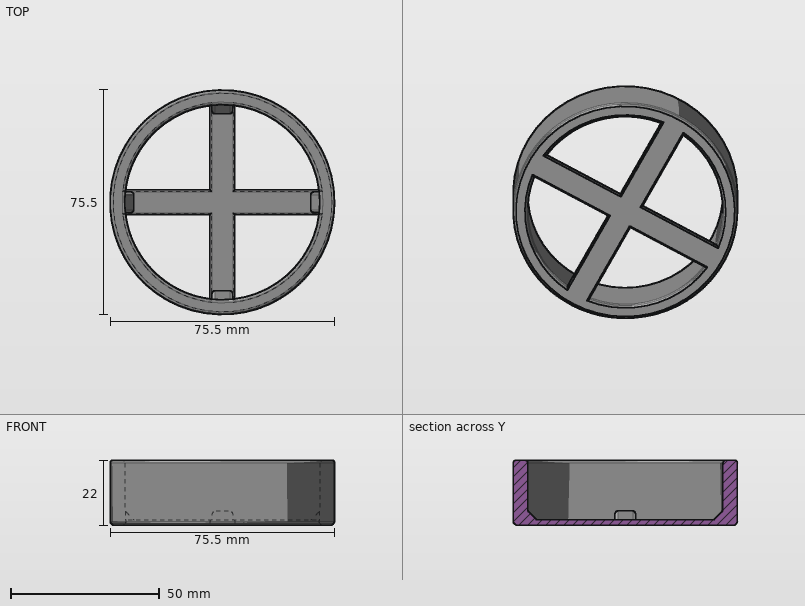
import cadquery as cq

OUTER_DIAMETER = 75.5
INNER_DIAMETER = 65.5
HEIGHT = 22.0
RIM_FILLET = 1.0
RIM_CHAMFER = 1.0

SPOKE_WIDTH = 8.5
SPOKE_THICKNESS = 2.0
SPOKE_FILLET = 0.75
SPOKE_CHAMFER = 0.5

GUSSET_COUNT = 4
GUSSET_WIDTH = 7.1
GUSSET_RUN = 3.0
GUSSET_RISE = 3.0
GUSSET_FILLET = 1.0

INNER_RADIUS = INNER_DIAMETER / 2
WALL = (OUTER_DIAMETER - INNER_DIAMETER) / 2
EMBED_RADIUS = INNER_RADIUS + WALL / 2


def finish_edges(body, chamfer, fillet):
    """Fillet the top edges, chamfer the bottom ones and blend each chamfer into its side wall."""
    body = body.faces(">Z").edges().fillet(fillet)
    body = body.faces("<Z").edges().chamfer(chamfer)
    chamfer_top_edges = cq.selectors.BoxSelector(
        (-OUTER_DIAMETER, -OUTER_DIAMETER, 0.9 * chamfer),
        (OUTER_DIAMETER, OUTER_DIAMETER, 1.1 * chamfer),
        boundingbox=True,
    )
    return body.edges(chamfer_top_edges).fillet(fillet)


def make_ring():
    """Plain ring with rounded top and chamfered bottom rims, inside and out."""
    ring = cq.Workplane("XY").circle(OUTER_DIAMETER / 2).circle(INNER_RADIUS).extrude(HEIGHT)
    return finish_edges(ring, RIM_CHAMFER, RIM_FILLET)


def make_cross():
    """Two bars crossing at right angles at the centre of the ring."""
    length = 2 * EMBED_RADIUS
    bar_x = cq.Workplane("XY").box(length, SPOKE_WIDTH, SPOKE_THICKNESS, centered=(True, True, False))
    bar_y = bar_x.rotate((0, 0, 0), (0, 0, 1), 90)
    return finish_edges(bar_x.union(bar_y), SPOKE_CHAMFER, SPOKE_FILLET)


def make_gusset():
    """Gusset on the +X spoke, sloping up towards the ring wall."""
    base = SPOKE_THICKNESS / 2
    slope = GUSSET_RISE / GUSSET_RUN
    toe_radius = INNER_RADIUS - GUSSET_RUN
    buried_toe_radius = toe_radius - (SPOKE_THICKNESS - base) / slope
    top = SPOKE_THICKNESS + slope * (EMBED_RADIUS - toe_radius)
    profile = [
        (buried_toe_radius, base),
        (EMBED_RADIUS, base),
        (EMBED_RADIUS, top),
    ]
    wedge = cq.Workplane("XZ").polyline(profile).close().extrude(GUSSET_WIDTH / 2, both=True)
    sloped_edges = "(not |X) and (not |Y) and (not |Z)"
    return wedge.edges(sloped_edges).fillet(GUSSET_FILLET)


result = make_ring().union(make_cross())
gusset = make_gusset()
for index in range(GUSSET_COUNT):
    angle = index * 360 / GUSSET_COUNT
    result = result.union(gusset.rotate((0, 0, 0), (0, 0, 1), angle))